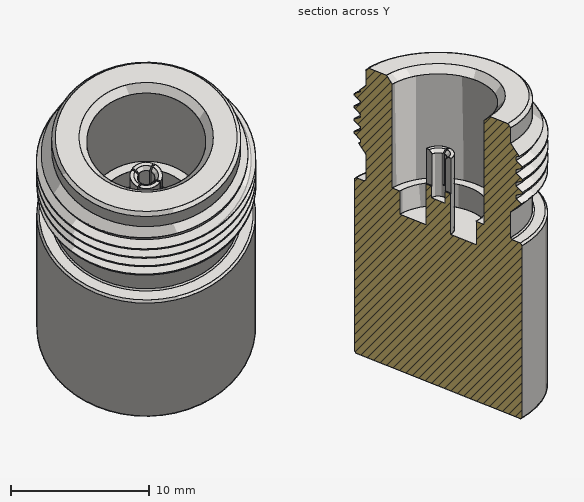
import cadquery as cq

length = 23.88
body_radius = 7.9
body_top = 14.47
body_chamfer = 0.17

neck_radius = 6.83
rim_chamfer = 0.26
neck_foot_chamfer = 0.12

thread_bottom = 16.7
thread_top = 22.35
crest_radius = 7.94
root_radius = 7.35
pitch = 1.05
crest_flat = pitch / 8
root_flat = pitch / 4
groove_start = 15.47
groove_turns = 6.3
groove_overlap = 0.05

socket_radius = 4.3
socket_depth = 9.07
socket_lead_in = 0.55
recess_radius = 3.58
recess_depth = 1.9

contact_radius = 1.17
contact_hole_radius = 0.62
contact_mouth_radius = 0.88
contact_tip = length - 4.78
contact_hole_depth = 3.82
slot_width = 0.12
slot_depth = 2.87


def make_shell():
    """Body, neck and an unthreaded collar with 45 degree ends, as one revolved solid."""
    collar_height = crest_radius - neck_radius
    return (
        cq.Workplane("XZ")
        .moveTo(0, 0)
        .lineTo(body_radius - body_chamfer, 0)
        .lineTo(body_radius, body_chamfer)
        .lineTo(body_radius, body_top - body_chamfer)
        .lineTo(body_radius - body_chamfer, body_top)
        .lineTo(neck_radius + neck_foot_chamfer, body_top)
        .lineTo(neck_radius, body_top + neck_foot_chamfer)
        .lineTo(neck_radius, thread_bottom)
        .lineTo(crest_radius, thread_bottom + collar_height)
        .lineTo(crest_radius, thread_top - collar_height)
        .lineTo(neck_radius, thread_top)
        .lineTo(neck_radius, length - rim_chamfer)
        .lineTo(neck_radius - rim_chamfer, length)
        .lineTo(0, length)
        .close()
        .revolve(360, (0, 0, 0), (0, 1, 0))
    )


def make_thread_groove():
    """Helical V cutter that runs past both ends of the collar."""
    half_root = root_flat / 2
    half_mouth = (pitch - crest_flat) / 2
    flank_slope = (half_mouth - half_root) / (crest_radius - root_radius)
    half_outer = half_mouth + flank_slope * groove_overlap
    outer_radius = crest_radius + groove_overlap
    path = cq.Wire.makeHelix(pitch, groove_turns * pitch, root_radius, cq.Vector(0, 0, groove_start))
    profile = cq.Workplane("XZ").polyline([
        (root_radius, groove_start - half_root),
        (outer_radius, groove_start - half_outer),
        (outer_radius, groove_start + half_outer),
        (root_radius, groove_start + half_root),
    ]).close()
    return profile.sweep(cq.Workplane(path), isFrenet=True)


def make_socket():
    """Stepped bore with a 45 degree lead-in at the rim."""
    socket_floor = length - socket_depth
    recess_floor = socket_floor - recess_depth
    return (
        cq.Workplane("XZ")
        .moveTo(0, recess_floor)
        .lineTo(recess_radius, recess_floor)
        .lineTo(recess_radius, socket_floor)
        .lineTo(socket_radius, socket_floor)
        .lineTo(socket_radius, length - socket_lead_in)
        .lineTo(socket_radius + socket_lead_in, length)
        .lineTo(0, length)
        .close()
        .revolve(360, (0, 0, 0), (0, 1, 0))
    )


def make_contact():
    """Hollow contact pin with a bevelled mouth and two crossing slots."""
    foot = length - socket_depth - recess_depth
    mouth_bevel = contact_mouth_radius - contact_hole_radius
    hole_floor = contact_tip - contact_hole_depth
    pin = (
        cq.Workplane("XZ")
        .moveTo(0, foot)
        .lineTo(contact_radius, foot)
        .lineTo(contact_radius, contact_tip)
        .lineTo(contact_mouth_radius, contact_tip)
        .lineTo(contact_hole_radius, contact_tip - mouth_bevel)
        .lineTo(contact_hole_radius, hole_floor)
        .lineTo(0, hole_floor)
        .close()
        .revolve(360, (0, 0, 0), (0, 1, 0))
    )
    for angle in (0, 90):
        slot = (
            cq.Workplane("XY", origin=(0, 0, contact_tip - slot_depth))
            .rect(2.5 * contact_radius, slot_width)
            .extrude(slot_depth)
            .rotate((0, 0, 0), (0, 0, 1), angle)
        )
        pin = pin.cut(slot)
    return pin


shell = make_shell().rotate((0, 0, 0), (0, 0, 1), 180)
threaded_shell = shell.cut(make_thread_groove())
result = threaded_shell.cut(make_socket()).union(make_contact())